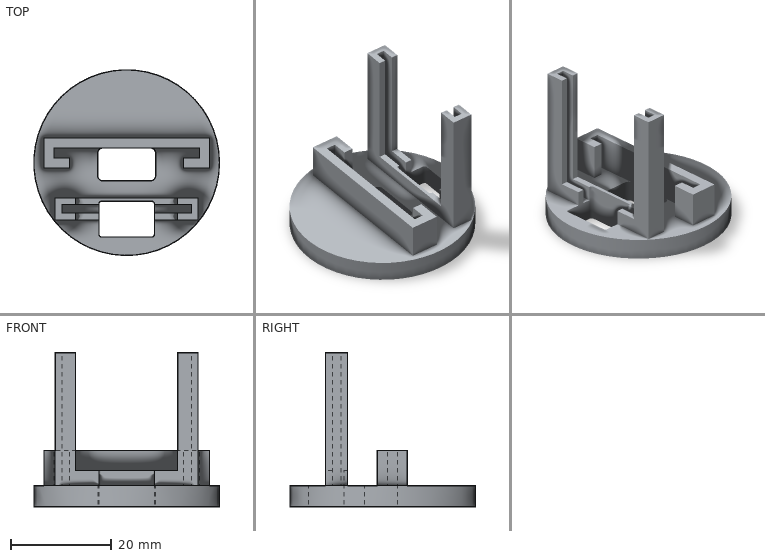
import cadquery as cq

base_diameter = 37.0
base_height = 4.22

holder_width = 33.0
holder_depth = 6.0
holder_height = 7.0
holder_wall = 2.0
holder_back_y = 4.9
holder_mouth_width = 22.7

post_height = 26.5
post_width = 4.1
frame_width = 28.5
frame_depth = 4.4
frame_back_y = -7.0
beam_height = 3.0
groove_width = 25.75
groove_depth = 1.7

rear_window_width = 11.5
rear_window_depth = 6.5
rear_window_radius = 1.0
front_window_width = 11.0
front_window_depth = 7.1
front_window_back_y = -7.7
front_window_radius = 0.5


def block(width, depth, height, back_y, bottom_z):
    """Box centred on X that reaches from back_y toward -Y and upward from bottom_z."""
    return (
        cq.Workplane("XY")
        .box(width, depth, height, centered=(True, False, False))
        .translate((0, back_y - depth, bottom_z))
    )


def window(width, depth, back_y, corner_radius):
    """Cutter with rounded upright edges, from the plate underside to above the beam."""
    cutter_height = base_height + beam_height
    return block(width, depth, cutter_height, back_y, 0).edges("|Z").fillet(corner_radius)


def make_rear_holder():
    cavity_width = holder_width - 2 * holder_wall
    cavity_depth = holder_depth - 2 * holder_wall
    cavity_back_y = holder_back_y - holder_wall
    mouth_depth = holder_depth - holder_wall
    body = block(holder_width, holder_depth, holder_height, holder_back_y, base_height)
    cavity = block(cavity_width, cavity_depth, holder_height, cavity_back_y, base_height)
    mouth = block(holder_mouth_width, mouth_depth, holder_height, cavity_back_y, base_height)
    return body.cut(cavity).cut(mouth)


def make_front_holder():
    opening_width = frame_width - 2 * post_width
    opening_height = post_height - beam_height
    groove_back_y = frame_back_y - (frame_depth - groove_depth) / 2
    body = block(frame_width, frame_depth, post_height, frame_back_y, base_height)
    opening = block(opening_width, frame_depth, opening_height, frame_back_y, base_height + beam_height)
    groove = block(groove_width, groove_depth, post_height, groove_back_y, base_height)
    return body.cut(opening).cut(groove)


base = cq.Workplane("XY").circle(base_diameter / 2).extrude(base_height)
rear_window = window(
    rear_window_width, rear_window_depth, holder_back_y - holder_wall, rear_window_radius
)
front_window = window(
    front_window_width, front_window_depth, front_window_back_y, front_window_radius
)

result = base.union(make_rear_holder()).union(make_front_holder()).cut(rear_window).cut(front_window)